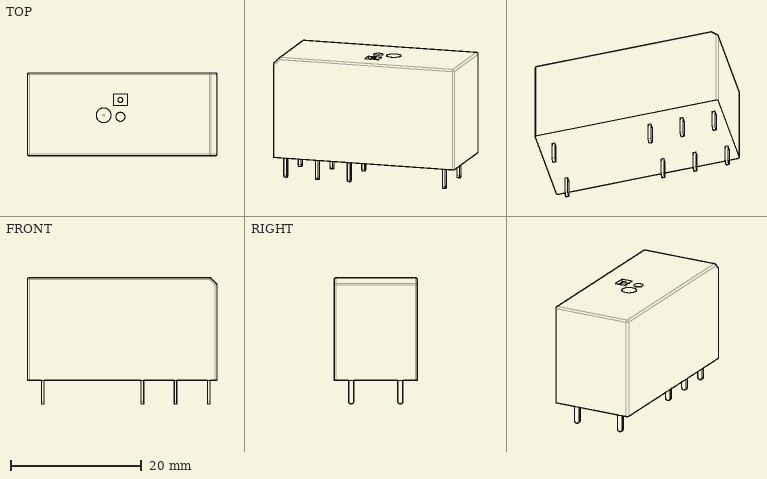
import cadquery as cq
import math

length = 29.0
width = 12.7
total_height = 19.3
pin_length = 3.6
height = total_height - pin_length
end_chamfer = 1.02
edge_radius = 0.3

pin_row_spacing = 7.5
first_pin_inset = 2.35
pin_pitch = 5.08
pin_steps = (0, 3, 4, 5)
pin_thickness = 0.44
pin_width = 0.8
pin_embed = 0.3

recess_depth = 0.5
window_x = -0.3
window_y = 2.2
window_length = 2.15
window_width = 1.75
post_diameter = 0.75

round_recess_y = -0.38
round_recess_diameter = 1.4

dimple_x = -2.85
dimple_y = -0.15
dimple_radius = 1.13
dimple_flat_radius = 0.13


def make_housing():
    """Box with a chamfered +X top edge and every edge but the underside rounded."""
    block = cq.Workplane("XY").box(length, width, height, centered=(True, True, False))
    block = block.faces(">Z").edges(">X").chamfer(end_chamfer)
    return block.edges("not <Z").fillet(edge_radius)


def make_pin(x, y):
    """Blade with a half-round tip, sunk slightly into the housing."""
    half_width = pin_width / 2
    tip_start = half_width - pin_length
    return (
        cq.Workplane("YZ", origin=(x, y, 0))
        .moveTo(-half_width, pin_embed)
        .lineTo(-half_width, tip_start)
        .threePointArc((0, -pin_length), (half_width, tip_start))
        .lineTo(half_width, pin_embed)
        .close()
        .extrude(pin_thickness / 2, both=True)
    )


def make_window():
    """Rectangular pocket cutter that leaves the central post standing."""
    return (
        cq.Workplane("XY", origin=(window_x, window_y, height))
        .rect(window_length, window_width)
        .circle(post_diameter / 2)
        .extrude(-recess_depth)
    )


def make_round_recess():
    """Shallow cylinder cutter, as deep as the window and on the same X line."""
    return (
        cq.Workplane("XY", origin=(window_x, round_recess_y, height))
        .circle(round_recess_diameter / 2)
        .extrude(-recess_depth)
    )


def make_dimple():
    """Hemispherical cutter, cut off flat near its pole."""
    flat_depth = math.sqrt(dimple_radius**2 - dimple_flat_radius**2)
    middle = dimple_radius * math.sin(math.radians(45))
    return (
        cq.Workplane("XZ", origin=(dimple_x, dimple_y, height))
        .lineTo(dimple_radius, 0)
        .threePointArc((middle, -middle), (dimple_flat_radius, -flat_depth))
        .lineTo(0, -flat_depth)
        .close()
        .revolve(360, (0, 0, 0), (0, 1, 0))
    )


result = make_housing().cut(make_window()).cut(make_round_recess()).cut(make_dimple())

for step in pin_steps:
    pin_x = -length / 2 + first_pin_inset + step * pin_pitch
    for side in (-1, 1):
        result = result.union(make_pin(pin_x, side * pin_row_spacing / 2))